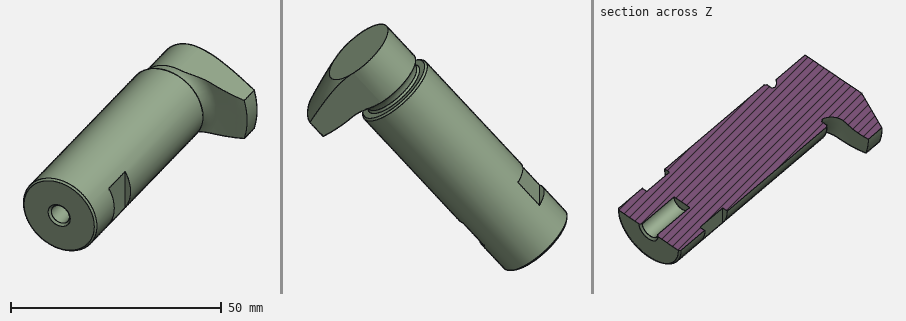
import cadquery as cq
import math

length = 66.0
shank_diameter = 20.0
shank_radius = shank_diameter / 2
shank_length = 53.0
shank_chamfer = 0.45

neck_radius = 7.6
neck_base_radius = 8.0
neck_flare_length = 0.6
neck_fillet = 4.0

boss_diameter = 18.0
boss_radius = boss_diameter / 2
arm_reach = 20.0
arm_taper = 10.7
back_cone_radius = 9.1
back_cone_drop = 4.95
underside_y = 56.0
underside_center = 17.15
underside_radius = 26.4
fillet_outer_radius = 11.95

flat_distance = 8.5
flat_start = 9.0
flat_length = 8.0

bore_diameter = 4.9
bore_radius = bore_diameter / 2
bore_mouth_diameter = 6.0
bore_mouth_radius = bore_mouth_diameter / 2
bore_depth = 11.9


def underside_height(radius):
    """Y of the convex clamping face at a distance from the axis."""
    offset = radius - underside_center
    return underside_y + underside_radius - math.sqrt(underside_radius**2 - offset**2)


def arc_midpoint(start, end, radius, side):
    """Middle of the minor arc; side = 1 bulges left of the direction of travel, -1 right."""
    dx = end[0] - start[0]
    dy = end[1] - start[1]
    chord = math.hypot(dx, dy)
    sagitta = radius - math.sqrt(radius**2 - (chord / 2)**2)
    mid_x = (start[0] + end[0]) / 2 - side * sagitta * dy / chord
    mid_y = (start[1] + end[1]) / 2 + side * sagitta * dx / chord
    return mid_x, mid_y


def revolve_about_y(profile):
    return profile.close().revolve(360, (0, 0, 0), (0, 1, 0))


def make_shank():
    shank = cq.Workplane("XZ").circle(shank_radius).extrude(-shank_length)
    shank = shank.faces("<Y or >Y").chamfer(shank_chamfer)
    flat_depth = shank_radius - flat_distance
    for side in (-1, 1):
        cutter = cq.Workplane("XY").box(flat_depth, flat_length, 2 * shank_radius)
        cutter = cutter.translate((
            side * (flat_distance + flat_depth / 2),
            flat_start + flat_length / 2,
            0,
        ))
        shank = shank.cut(cutter)
    return shank


def make_head_outline():
    """Boss and arm outline along Y, with straight sides tangent to the boss."""
    taper = math.radians(arm_taper)
    tangent_x = boss_radius * math.sin(taper)
    tangent_z = boss_radius * math.cos(taper)
    side_length = math.sqrt(arm_reach**2 - boss_radius**2)
    tip_x = tangent_x + side_length * math.cos(taper)
    tip_z = tangent_z - side_length * math.sin(taper)
    return (
        cq.Workplane("XZ")
        .moveTo(tangent_x, tangent_z)
        .lineTo(tip_x, tip_z)
        .threePointArc((arm_reach, 0), (tip_x, -tip_z))
        .lineTo(tangent_x, -tangent_z)
        .threePointArc((-boss_radius, 0), (tangent_x, tangent_z))
        .close()
        .extrude(-length)
    )


def make_head_and_neck():
    """Turned profile of the neck, clamping face and back cone, trimmed to the head outline."""
    fillet_start = (neck_radius, shank_length + neck_flare_length)
    fillet_end = (fillet_outer_radius, underside_height(fillet_outer_radius))
    tip = (arm_reach, underside_height(arm_reach))
    turned = revolve_about_y(
        cq.Workplane("XY")
        .moveTo(0, shank_length)
        .lineTo(neck_base_radius, shank_length)
        .lineTo(*fillet_start)
        .threePointArc(arc_midpoint(fillet_start, fillet_end, neck_fillet, 1), fillet_end)
        .threePointArc(arc_midpoint(fillet_end, tip, underside_radius, -1), tip)
        .lineTo(arm_reach, length - back_cone_drop)
        .lineTo(back_cone_radius, length)
        .lineTo(0, length)
    )
    return turned.intersect(make_head_outline())


def make_bore():
    """Blind hole with a 45-degree countersunk mouth."""
    countersink_depth = bore_mouth_radius - bore_radius
    return revolve_about_y(
        cq.Workplane("XY")
        .lineTo(bore_mouth_radius, 0)
        .lineTo(bore_radius, countersink_depth)
        .lineTo(bore_radius, bore_depth)
        .lineTo(0, bore_depth)
    )


result = make_shank().union(make_head_and_neck()).cut(make_bore())